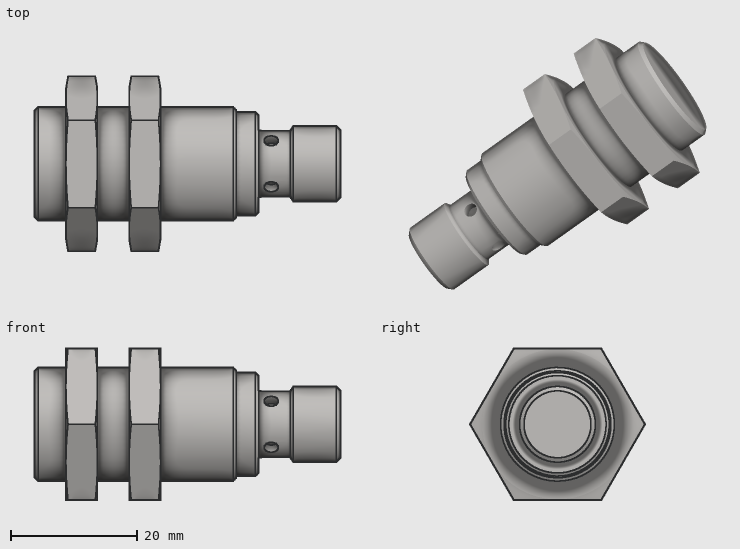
import cadquery as cq
import math

barrel_diameter = 18.0
barrel_front_chamfer = 0.6
barrel_rear_face_diameter = 16.92
barrel_end = 32.0

collar_diameter = 16.4
collar_end = 35.5
collar_chamfer = 0.5

neck_diameter = 10.5
neck_end = 40.5
neck_relief_length = 0.5
neck_relief_height = 0.1

plug_diameter = 12.0
plug_end = 48.5
plug_end_chamfer = 0.7
plug_lead_length = 0.5

hole_diameter = 2.2
hole_depth = 1.7
hole_cutter_overrun = 1.0
hole_x = 37.5
hole_count = 4
hole_start_angle = 45.0

nut_across_flats = 24.0
nut_thickness = 5.0
nut_starts = (5.0, 15.0)
nut_face_diameter = 23.8
nut_chamfer_angle = 10.0


def make_turned_body():
    """Revolve the half outline of the barrel, collar, neck and plug about X."""
    barrel_radius = barrel_diameter / 2
    barrel_rear_radius = barrel_rear_face_diameter / 2
    barrel_rear_chamfer = barrel_radius - barrel_rear_radius
    collar_radius = collar_diameter / 2
    neck_radius = neck_diameter / 2
    plug_radius = plug_diameter / 2
    outline = [
        (0, 0),
        (0, barrel_radius - barrel_front_chamfer),
        (barrel_front_chamfer, barrel_radius),
        (barrel_end - barrel_rear_chamfer, barrel_radius),
        (barrel_end, barrel_rear_radius),
        (barrel_end, collar_radius),
        (collar_end - collar_chamfer, collar_radius),
        (collar_end, collar_radius - collar_chamfer),
        (collar_end, neck_radius + neck_relief_height),
        (collar_end + neck_relief_length, neck_radius),
        (neck_end, neck_radius),
        (neck_end + plug_lead_length, plug_radius),
        (plug_end - plug_end_chamfer, plug_radius),
        (plug_end, plug_radius - plug_end_chamfer),
        (plug_end, 0),
    ]
    return cq.Workplane("XY").polyline(outline).close().revolve(360, (0, 0, 0), (1, 0, 0))


def make_neck_hole(angle):
    """Blind radial hole cutter, turned about X by the given angle."""
    neck_radius = neck_diameter / 2
    floor_radius = neck_radius - hole_depth
    cutter = (
        cq.Workplane("XY", origin=(hole_x, 0, floor_radius))
        .circle(hole_diameter / 2)
        .extrude(hole_depth + hole_cutter_overrun)
    )
    return cutter.rotate((0, 0, 0), (1, 0, 0), angle)


def make_body():
    body = make_turned_body()
    for index in range(hole_count):
        body = body.cut(make_neck_hole(hole_start_angle + index * 360 / hole_count))
    return body


def make_nut(start):
    """Hexagon nut with both faces chamfered by a cone and bored to fit the barrel."""
    corner_radius = nut_across_flats / 2 / math.cos(math.pi / 6)
    face_radius = nut_face_diameter / 2
    chamfer_depth = (corner_radius - face_radius) * math.tan(math.radians(nut_chamfer_angle))
    end = start + nut_thickness
    hexagon = (
        cq.Workplane("YZ", origin=(start, 0, 0))
        .polygon(6, 2 * corner_radius)
        .extrude(nut_thickness)
    )
    envelope_outline = [
        (start, 0),
        (start, face_radius),
        (start + chamfer_depth, corner_radius),
        (end - chamfer_depth, corner_radius),
        (end, face_radius),
        (end, 0),
    ]
    envelope = (
        cq.Workplane("XY")
        .polyline(envelope_outline)
        .close()
        .revolve(360, (0, 0, 0), (1, 0, 0))
    )
    bore = (
        cq.Workplane("YZ", origin=(start, 0, 0))
        .circle(barrel_diameter / 2)
        .extrude(nut_thickness)
    )
    return hexagon.intersect(envelope).cut(bore)


body = make_body()
nuts = [make_nut(start) for start in nut_starts]
body_solids = body.solids().vals()
nut_solids = [nut.solids().val() for nut in nuts]
result = cq.Compound.makeCompound([*body_solids, *nut_solids])